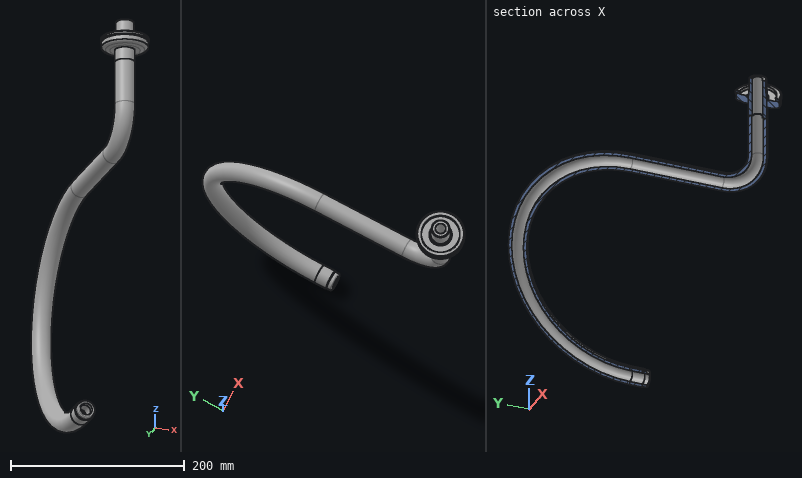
import cadquery as cq


tube_radius = 11.7
bore_radius = 7.0
loop_radius = 140.6
elbow_radius = 45.0
straight_length = 114.2
arm_axis_z = -125.6
tail_axis_z = arm_axis_z - 2 * loop_radius
loop_start_y = elbow_radius + straight_length

inlet_bore_radius = 6.0
inlet_bottom_z = -29.0
thread_top_z = 20.53
thread_top_radius = 10.5
thread_taper = 1 / 32
thread_chamfer = 0.9
inlet_shoulder_z = -2.5
thread_bottom_radius = thread_top_radius + thread_taper * (thread_top_z - inlet_shoulder_z)

gasket_radius = 27.89
gasket_inner_radius = 22.2
gasket_thickness = 3.8
gasket_chamfer = 1.2

rosette_radius = 27.2
rosette_bottom_z = -14.5
rosette_edge_chamfer = 1.3
rosette_side_bottom_z = -10.8
rosette_shoulder_radius = 22.5
rosette_shoulder_z = -13.3
rosette_base_radius = 17.5
rosette_hole_radius = tube_radius
rosette_countersink = 1.5

collar_length = 15.6
collar_chamfer = 0.7
aerator_length = 5.8
aerator_radius = tube_radius - collar_chamfer
aerator_fillet = 1.6
aerator_bore_radius = bore_radius


def revolve_z(profile):
    """Revolve a closed list of (radius, z) points about the supply axis."""
    return cq.Workplane("XZ").polyline(profile).close().revolve(360, (0, 0, 0), (0, 1, 0))


def ring_along_outlet(outer_radius, inner_radius, start_y, length):
    """Hollow cylinder on the outlet axis, running from start_y towards -Y."""
    return (
        cq.Workplane("XZ", origin=(0, start_y, tail_axis_z))
        .circle(outer_radius)
        .circle(inner_radius)
        .extrude(length)
    )


def make_tube():
    path = (
        cq.Workplane("YZ")
        .moveTo(0, inlet_bottom_z)
        .lineTo(0, arm_axis_z + elbow_radius)
        .radiusArc((elbow_radius, arm_axis_z), -elbow_radius)
        .lineTo(loop_start_y, arm_axis_z)
        .threePointArc(
            (loop_start_y + loop_radius, arm_axis_z - loop_radius),
            (loop_start_y, tail_axis_z),
        )
    )
    section = cq.Workplane("XY", origin=(0, 0, inlet_bottom_z)).circle(tube_radius).circle(bore_radius)
    return section.sweep(path)


def make_inlet():
    return revolve_z([
        (inlet_bore_radius, inlet_bottom_z),
        (tube_radius, inlet_bottom_z),
        (tube_radius, inlet_shoulder_z),
        (thread_bottom_radius, inlet_shoulder_z),
        (thread_top_radius, thread_top_z - thread_chamfer),
        (thread_top_radius - thread_chamfer, thread_top_z),
        (inlet_bore_radius, thread_top_z),
    ])


def make_gasket():
    return (
        cq.Workplane("XY", origin=(0, 0, -gasket_thickness))
        .circle(gasket_radius)
        .circle(gasket_inner_radius)
        .extrude(gasket_thickness)
        .faces(">Z")
        .edges(cq.selectors.RadiusNthSelector(-1))
        .chamfer(gasket_chamfer)
    )


def make_rosette():
    top_z = -gasket_thickness
    rounding_radius = rosette_radius - rosette_shoulder_radius
    return (
        cq.Workplane("XZ")
        .moveTo(rosette_hole_radius + rosette_countersink, top_z)
        .lineTo(rosette_radius - rosette_edge_chamfer, top_z)
        .lineTo(rosette_radius, top_z - rosette_edge_chamfer)
        .lineTo(rosette_radius, rosette_side_bottom_z)
        .radiusArc((rosette_shoulder_radius, rosette_shoulder_z), rounding_radius)
        .lineTo(rosette_base_radius, rosette_bottom_z)
        .lineTo(rosette_hole_radius, rosette_bottom_z)
        .lineTo(rosette_hole_radius, top_z - rosette_countersink)
        .close()
        .revolve(360, (0, 0, 0), (0, 1, 0))
    )


def make_collar():
    collar = ring_along_outlet(tube_radius, bore_radius, loop_start_y, collar_length)
    return collar.faces("<Y").edges(cq.selectors.RadiusNthSelector(-1)).chamfer(collar_chamfer)


def make_aerator():
    aerator = ring_along_outlet(
        aerator_radius, aerator_bore_radius, loop_start_y - collar_length, aerator_length
    )
    return aerator.faces("<Y").edges(cq.selectors.RadiusNthSelector(-1)).fillet(aerator_fillet)


tube = make_tube()
inlet = make_inlet()
gasket = make_gasket()
rosette = make_rosette()
collar = make_collar()
aerator = make_aerator()

bodies = [tube, inlet, gasket, rosette, collar, aerator]
result = cq.Compound.makeCompound([body.val() for body in bodies])